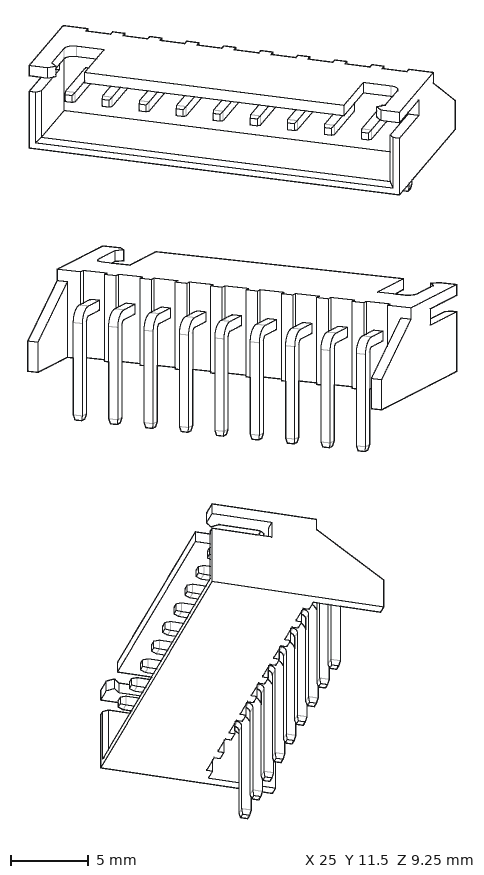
import cadquery as cq

length = 25.0
body_depth = 7.0
height = 5.75
wall = 0.72
cavity_depth = 5.0

ear_reach = 11.5
ear_end_height = 2.0
ear_top = 5.0

slot_depth = 4.0
slot_bottom = 3.95
window_outer = 11.25
window_width = 2.5
window_fillet = 0.62
catch_size = 0.42

bevel_width = 0.3
bevel_depth = 0.3

pin_count = 9
pitch = 2.5
pin_size = 0.65
tip_size = 0.48
tip_length = 0.35
pin_height = 3.58
pin_front = 0.5
tail_center = 8.92
tail_bottom = -3.5
bend_radius = 0.95

groove_width = 1.68
groove_depth = 0.4

cavity_half = length / 2 - wall
cavity_top = height - wall
pin_positions = [(i - (pin_count - 1) / 2) * pitch for i in range(pin_count)]


def block(x_min, x_max, y_min, y_max, z_min, z_max):
    """Box between opposite corners."""
    box = cq.Workplane("XY").box(x_max - x_min, y_max - y_min, z_max - z_min, centered=False)
    return box.translate((x_min, y_min, z_min))


def housing_shell():
    """Side profile along the full length, cleared between the rear ears."""
    profile = [
        (0, 0),
        (ear_reach, 0),
        (ear_reach, ear_end_height),
        (body_depth, ear_top),
        (body_depth, height),
        (0, height),
    ]
    shell = cq.Workplane("YZ").polyline(profile).close().extrude(length / 2, both=True)
    return shell.cut(block(-cavity_half, cavity_half, body_depth, ear_reach, 0, height))


def cavity():
    """Mating cavity with a bevelled mouth along the floor and the side walls."""
    pocket = block(-cavity_half, cavity_half, 0, cavity_depth, wall, cavity_top)
    mouth_half = cavity_half + bevel_width
    mouth = (
        cq.Workplane("XZ")
        .polyline([
            (-mouth_half, wall - bevel_width),
            (mouth_half, wall - bevel_width),
            (mouth_half, cavity_top),
            (-mouth_half, cavity_top),
        ])
        .close()
        .workplane(offset=-bevel_depth)
        .polyline([
            (-cavity_half, wall),
            (cavity_half, wall),
            (cavity_half, cavity_top),
            (-cavity_half, cavity_top),
        ])
        .close()
        .loft(ruled=True)
    )
    return pocket.union(mouth)


def roof_window():
    """Open-ended roof window at +X, narrowed by a pointed catch at its mouth."""
    inner = window_outer - window_width
    return (
        cq.Workplane("XY")
        .workplane(offset=cavity_top)
        .moveTo(inner, 0)
        .lineTo(window_outer, 0)
        .lineTo(window_outer - catch_size, catch_size)
        .lineTo(window_outer, 2 * catch_size)
        .lineTo(window_outer, slot_depth - window_fillet)
        .radiusArc((window_outer - window_fillet, slot_depth), -window_fillet)
        .lineTo(inner, slot_depth)
        .close()
        .extrude(wall)
    )


def tapered_tip():
    """Pin tip, from the full section at z = 0 down to the small end."""
    return (
        cq.Workplane("XY")
        .rect(pin_size, pin_size)
        .workplane(offset=-tip_length)
        .rect(tip_size, tip_size)
        .loft(ruled=True)
    )


def pin():
    """Right-angle pin at x = 0 with tapered ends and a rounded bend."""
    half = pin_size / 2
    tip_start = pin_front + tip_length
    tail_start = tail_bottom + tip_length
    top = pin_height + half
    back = tail_center + half
    inner_radius = bend_radius - pin_size
    bent = (
        cq.Workplane("YZ")
        .moveTo(tip_start, pin_height - half)
        .lineTo(back - bend_radius, pin_height - half)
        .radiusArc((tail_center - half, top - bend_radius), inner_radius)
        .lineTo(tail_center - half, tail_start)
        .lineTo(back, tail_start)
        .lineTo(back, top - bend_radius)
        .radiusArc((back - bend_radius, top), -bend_radius)
        .lineTo(tip_start, top)
        .close()
        .extrude(half, both=True)
    )
    front_tip = tapered_tip().rotate((0, 0, 0), (1, 0, 0), -90).translate((0, tip_start, pin_height))
    tail_tip = tapered_tip().translate((0, tail_center, tail_start))
    return bent.union(front_tip).union(tail_tip)


result = housing_shell().cut(cavity())

result = result.cut(block(-length / 2, length / 2, 0, slot_depth, slot_bottom, cavity_top))

window = roof_window()
result = result.cut(window).cut(window.mirror("YZ"))

groove_half = groove_width / 2
rear_groove = block(-groove_half, groove_half, body_depth - groove_depth, body_depth, 0, height)
for x in pin_positions:
    result = result.cut(rear_groove.translate((x, 0, 0)))

contact = pin()
for x in pin_positions:
    result = result.union(contact.translate((x, 0, 0)))